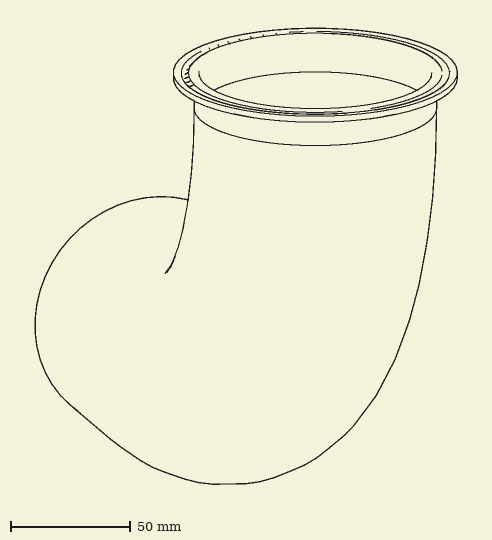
import cadquery as cq
import math

tube_radius = 50.82
wall = 2.0
bore_radius = tube_radius - wall
bend_radius = 152.3
inlet_length = tube_radius

ferrule_height = 15.8
flange_radius = 59.49
rim_thickness = 2.5
flange_slope = math.radians(20)
neck_fillet = 2.4
face_lip_fillet = 0.5

groove_inner_radius = 53.0
groove_outer_radius = 56.2
groove_depth = 1.5

outlet_x = bend_radius
outlet_z = bend_radius


def make_elbow():
    """Straight inlet tube running into a quarter-turn bend."""
    path = (
        cq.Workplane("XZ")
        .moveTo(-inlet_length, 0)
        .lineTo(0, 0)
        .radiusArc((outlet_x, outlet_z), -bend_radius)
    )
    section = cq.Workplane("YZ", origin=(-inlet_length, 0, 0))
    return section.circle(tube_radius).circle(bore_radius).sweep(path)


def make_ferrule():
    """Weld neck with a tapered clamp flange, turned about the outlet axis."""
    rim_bottom = ferrule_height - rim_thickness
    slope_drop = (flange_radius - tube_radius) * math.tan(flange_slope)
    neck_top = rim_bottom - slope_drop
    outlet = cq.Workplane("XZ", origin=(outlet_x, 0, outlet_z))

    body = (
        outlet.moveTo(bore_radius, 0)
        .lineTo(tube_radius, 0)
        .lineTo(tube_radius, neck_top)
        .lineTo(flange_radius, rim_bottom)
        .lineTo(flange_radius, ferrule_height)
        .lineTo(bore_radius, ferrule_height)
        .close()
        .revolve(360, (0, 0), (0, 1))
    )
    neck_corner = body.edges("%CIRCLE").edges(">>Z[1]")
    body = neck_corner.fillet(neck_fillet)

    groove_middle = (groove_inner_radius + groove_outer_radius) / 2
    groove = (
        outlet.moveTo(groove_inner_radius, ferrule_height)
        .threePointArc(
            (groove_middle, ferrule_height - groove_depth),
            (groove_outer_radius, ferrule_height),
        )
        .close()
        .revolve(360, (0, 0), (0, 1))
    )
    body = body.cut(groove)

    face_lips = body.edges(">Z").filter(lambda edge: edge.radius() < flange_radius - face_lip_fillet)
    return face_lips.fillet(face_lip_fillet)


elbow = make_elbow()
ferrule = make_ferrule()
result = cq.Compound.makeCompound([elbow.val(), ferrule.val()])